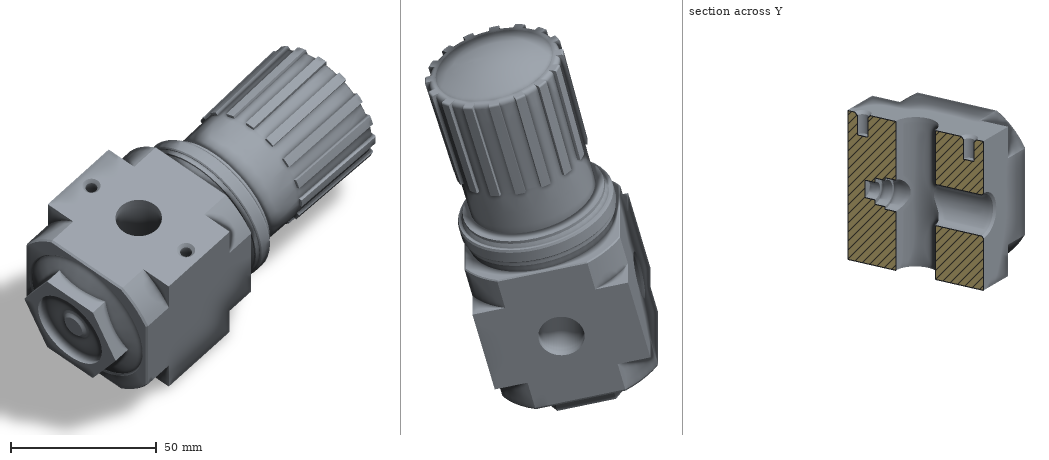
import cadquery as cq
import math


cube_size = 55.0
half_cube = cube_size / 2
total_length = 136.3
hex_face_y = -36.0
knob_top_y = hex_face_y + total_length

flat_half_width = 16.0
band_half_length = 16.0
corner_radius = math.hypot(half_cube, flat_half_width)
end_bevel_inset = 0.4
front_bevel_length = 0.8
back_bevel_length = 0.4

through_port_diameter = 16.0
inlet_diameter = 15.0
inlet_bevel_diameter = 16.6
inlet_bevel_depth = (inlet_bevel_diameter - inlet_diameter) / 2
stepped_hole = [(11.5, 12.3), (9.5, 16.4), (6.3, 20.5)]
screw_offset = 21.5
screw_diameter = 4.1
screw_countersink = 6.3
countersink_angle = 90.0
screw_depth = 8.2

seat_diameter = 50.4
seat_bevel_diameter = 51.5
seat_bevel_depth = (seat_bevel_diameter - seat_diameter) / 2
seat_depth = 5.5
cap_diameter = 50.2
cap_rim_depth = 0.5
cap_cone_angle = 30.0
hex_across_flats = 36.0
hex_recess_diameter = 29.0
hex_recess_floor_diameter = 26.5
hex_recess_depth = 3.3
button_base_diameter = 12.1
button_shoulder_diameter = 10.1
button_tip_diameter = 7.9
button_shoulder_height = 0.4
button_height = 1.4

collar_diameter = 52.0
collar_step_diameter = 53.5
collar_ring_diameter = cube_size
collar_top_diameter = 50.2
ring_bevel = 0.4
collar_step_y = 30.5
ring_front_y = 32.3
ring_bevel_y = 36.7
ring_back_y = 37.5
collar_cone_y = 38.7
collar_back_y = 39.8
neck_diameter = 39.0
neck_base_diameter = 40.3

knob_front_y = 41.0
knob_front_radius = 22.2
knob_rim_radius = 23.2
knob_shoulder_y = 96.2
knob_rim_rounding = 1.6
dome_radius = 20.6
rib_count = 16
rib_width = 3.5
rib_front_y = 58.0
rib_front_radius = 23.7
rib_back_radius = 24.5
rib_rounding = 0.7
rib_root_radius = 19.1


def turned(points):
    """Solid of revolution about Y from (radius, y) points."""
    return cq.Workplane("XY").polyline(points).close().revolve(360, (0, 0), (0, 1))


def rod_along_x(diameter, x_start, x_end):
    """Cylinder on the X axis between two X positions."""
    return cq.Workplane("YZ").workplane(offset=x_start).circle(diameter / 2).extrude(x_end - x_start)


def prism_along_y(size, y_start, y_end):
    """Square bar centred on the Y axis."""
    return cq.Workplane("XY").box(size, y_end - y_start, size).translate((0, (y_start + y_end) / 2, 0))


def make_block():
    """Square band round the ports, with rounded-corner ends bevelled at both faces."""
    ends = prism_along_y(cube_size, -half_cube, half_cube)
    ends = ends.intersect(turned([
        (0, -half_cube),
        (corner_radius - end_bevel_inset, -half_cube),
        (corner_radius, -half_cube + front_bevel_length),
        (corner_radius, half_cube - back_bevel_length),
        (corner_radius - end_bevel_inset, half_cube),
        (0, half_cube),
    ]))
    for y_face, length, direction in ((-half_cube, front_bevel_length, 1), (half_cube, back_bevel_length, -1)):
        for turn in range(4):
            wedge = (
                cq.Workplane("XY")
                .polyline([
                    (half_cube, y_face),
                    (half_cube - end_bevel_inset, y_face),
                    (half_cube, y_face + direction * length),
                ])
                .close()
                .extrude(half_cube, both=True)
                .rotate((0, 0, 0), (0, 1, 0), 90 * turn)
            )
            ends = ends.cut(wedge)
    return ends.union(prism_along_y(cube_size, -band_half_length, band_half_length))


def make_collar():
    """Stepped round collar and the neck that carries the knob."""
    ring_radius = collar_ring_diameter / 2
    return turned([
        (0, half_cube),
        (collar_diameter / 2, half_cube),
        (collar_diameter / 2, collar_step_y),
        (collar_step_diameter / 2, collar_step_y),
        (collar_step_diameter / 2, ring_front_y),
        (ring_radius - ring_bevel, ring_front_y),
        (ring_radius, ring_front_y + ring_bevel),
        (ring_radius, ring_bevel_y),
        (ring_radius - ring_bevel, ring_back_y),
        (collar_diameter / 2, ring_back_y),
        (collar_top_diameter / 2, collar_cone_y),
        (collar_top_diameter / 2, collar_back_y),
        (neck_base_diameter / 2, collar_back_y),
        (neck_diameter / 2, knob_front_y),
        (0, knob_front_y),
    ])


def cut_ports(body):
    """Through port along Z, inlet on -X and the stepped blind hole facing it."""
    body = body.cut(cq.Workplane("XY").circle(through_port_diameter / 2).extrude(half_cube, both=True))
    body = body.cut(rod_along_x(inlet_diameter, -half_cube, 0))
    inlet_bevel = (
        cq.Workplane("YZ")
        .workplane(offset=-half_cube)
        .circle(inlet_bevel_diameter / 2)
        .workplane(offset=inlet_bevel_depth)
        .circle(inlet_diameter / 2)
        .loft()
    )
    body = body.cut(inlet_bevel)
    for diameter, end_x in stepped_hole:
        body = body.cut(rod_along_x(diameter, 0, end_x))
    return body


def cut_screw_holes(body):
    """Two countersunk blind holes in the top face."""
    return (
        body.faces(">Z")
        .workplane(origin=(0, 0, half_cube))
        .pushPoints([(-screw_offset, 0), (screw_offset, 0)])
        .cskHole(screw_diameter, screw_countersink, countersink_angle, depth=screw_depth)
    )


def cut_cap_seat(body):
    """Bevelled round recess in the front face that takes the cap."""
    return body.cut(turned([
        (0, -half_cube),
        (seat_bevel_diameter / 2, -half_cube),
        (seat_diameter / 2, -half_cube + seat_bevel_depth),
        (seat_diameter / 2, -half_cube + seat_depth),
        (0, -half_cube + seat_depth),
    ]))


def make_housing():
    """Block and collar as one piece, with all the holes."""
    body = make_block().union(make_collar())
    return cut_cap_seat(cut_screw_holes(cut_ports(body)))


def make_cap():
    """Conical screw cap with a hexagon, and a round button in the recessed face."""
    seat_floor_y = -half_cube + seat_depth
    rim_y = -half_cube + cap_rim_depth
    hex_apothem = hex_across_flats / 2
    cone_drop = (cap_diameter / 2 - hex_apothem) * math.tan(math.radians(cap_cone_angle))
    cone = turned([
        (0, seat_floor_y),
        (cap_diameter / 2, seat_floor_y),
        (cap_diameter / 2, rim_y),
        (hex_apothem, rim_y - cone_drop),
        (0, rim_y - cone_drop),
    ])
    hexagon = (
        cq.Workplane("XZ")
        .workplane(offset=-seat_floor_y)
        .polygon(6, hex_across_flats / math.cos(math.pi / 6))
        .extrude(seat_floor_y - hex_face_y)
    )
    floor_y = hex_face_y + hex_recess_depth
    rounding = (hex_recess_diameter - hex_recess_floor_diameter) / 2
    recess = (
        cq.Workplane("XY")
        .moveTo(0, hex_face_y)
        .lineTo(hex_recess_diameter / 2, hex_face_y)
        .lineTo(hex_recess_diameter / 2, floor_y - rounding)
        .radiusArc((hex_recess_floor_diameter / 2, floor_y), -rounding)
        .lineTo(0, floor_y)
        .close()
        .revolve(360, (0, 0), (0, 1))
    )
    button = turned([
        (0, floor_y),
        (button_base_diameter / 2, floor_y),
        (button_shoulder_diameter / 2, floor_y - button_shoulder_height),
        (button_tip_diameter / 2, floor_y - button_height),
        (0, floor_y - button_height),
    ])
    return cone.union(hexagon).cut(recess).union(button)


def make_ribs():
    """Ring of parallel-sided grip ribs that taper towards the front."""
    sleeve = (
        cq.Workplane("XY")
        .moveTo(rib_root_radius, rib_front_y)
        .lineTo(rib_front_radius, rib_front_y)
        .lineTo(rib_back_radius, knob_shoulder_y)
        .lineTo(rib_root_radius, knob_shoulder_y)
        .close()
        .revolve(360, (0, 0), (0, 1))
        .edges(cq.selectors.RadiusNthSelector(-1))
        .fillet(rib_rounding)
    )
    rib_length = knob_shoulder_y - rib_front_y
    slab = (
        cq.Workplane("XY")
        .box(2 * rib_back_radius, rib_length, rib_width)
        .translate((0, rib_front_y + rib_length / 2, 0))
    )
    slabs = slab
    for index in range(1, rib_count // 2):
        slabs = slabs.union(slab.rotate((0, 0, 0), (0, 1, 0), index * 360 / rib_count))
    return sleeve.intersect(slabs)


def make_knob():
    """Slightly flared grip knob with a domed end and a ring of ribs."""
    dome_height = knob_top_y - knob_shoulder_y
    sphere_radius = (dome_radius**2 + dome_height**2) / (2 * dome_height)
    half_angle = math.asin(dome_radius / sphere_radius) / 2
    dome_middle = (
        sphere_radius * math.sin(half_angle),
        knob_top_y - sphere_radius * (1 - math.cos(half_angle)),
    )
    knob = (
        cq.Workplane("XY")
        .moveTo(0, knob_front_y)
        .lineTo(knob_front_radius, knob_front_y)
        .lineTo(knob_rim_radius, knob_shoulder_y - knob_rim_rounding)
        .radiusArc((knob_rim_radius - knob_rim_rounding, knob_shoulder_y), -knob_rim_rounding)
        .lineTo(dome_radius, knob_shoulder_y)
        .threePointArc(dome_middle, (0, knob_top_y))
        .close()
        .revolve(360, (0, 0), (0, 1))
    )
    return knob.union(make_ribs())


housing = make_housing()
cap = make_cap()
knob = make_knob()

result = cq.Compound.makeCompound([housing.val(), cap.val(), knob.val()])